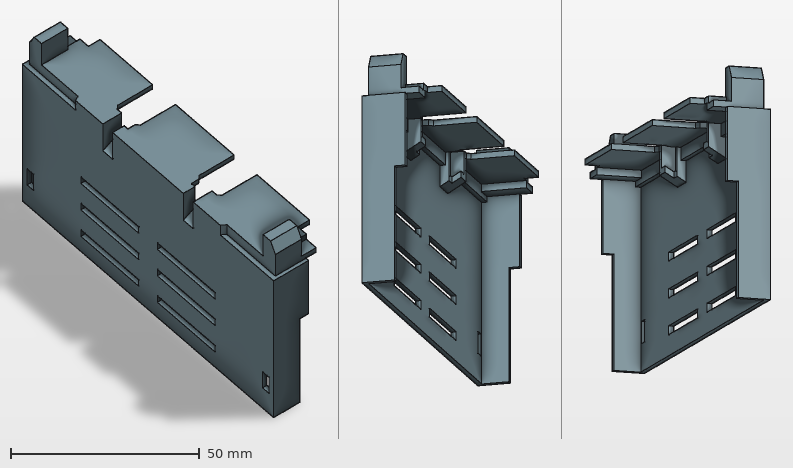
import cadquery as cq
import math


body_width = 104.6
body_height = 51.4
body_left = -body_width / 2
wall = 1.5
side_depth_low = 9.0
side_depth_high = 12.0
side_step_z = 31.4

deck_top = 55.0
deck_thickness = 1.6
deck_depth = 19.5
deck_half_width = 51.2
corner_depth = 15.5
corner_half_width = 43.6

setback = 1.5
setback_half_width = 30.1
setback_slant = 0.9

shelf_half_width = 47.1
shelf_top = 53.1

post_width = 5.1
post_depth = 9.0
post_top = 63.0
post_chamfer_width = 2.0
post_chamfer_height = 3.5

notch_inner = 14.7
notch_outer = 18.8
notch_floor_z = 44.95
notch_floor_angle = 30.0
notch_step_x = 15.9
notch_short_depth = 4.0
notch_long_depth = 6.5
gap_inner = 12.2
gap_outer = 21.7
gap_corner = 1.0

slot_length = 24.0
slot_height = 2.4
slot_center_x = 15.9
slot_bottom_z = 5.7
slot_pitch = 9.95
slot_rows = 3
window_width = 2.6
window_height = 6.0
window_center_x = 49.0
window_bottom_z = 7.6


def box(x0, x1, y0, y1, z0, z1):
    """Box between the given limits."""
    return cq.Workplane("XY").box(x1 - x0, y1 - y0, z1 - z0, centered=False).translate((x0, y0, z0))


def prism_z(points, z0, z1):
    """Vertical prism with the given XY outline."""
    return cq.Workplane("XY").workplane(offset=z0).polyline(points).close().extrude(z1 - z0)


def both_sides(shape):
    """The shape together with its mirror image across X = 0."""
    return shape.union(shape.mirror("YZ"))


def make_body():
    body = box(body_left, body_left + body_width, 0, wall, 0, body_height)
    for x in (body_left, body_left + body_width - wall):
        body = body.union(box(x, x + wall, 0, side_depth_low, 0, body_height))
        body = body.union(box(x, x + wall, 0, side_depth_high, side_step_z, body_height))
    return body


def make_deck():
    half_outline = [
        (0, 0),
        (setback_half_width, 0),
        (setback_half_width + setback_slant, setback),
        (deck_half_width, setback),
        (deck_half_width, corner_depth),
        (corner_half_width, corner_depth),
        (corner_half_width, deck_depth),
        (0, deck_depth),
    ]
    deck = prism_z(half_outline, deck_top - deck_thickness, deck_top)
    raised_wall_outline = [
        (0, 0),
        (setback_half_width, 0),
        (setback_half_width + setback_slant, setback),
        (deck_half_width, setback),
        (deck_half_width, setback + wall),
        (0, setback + wall),
    ]
    deck = deck.union(prism_z(raised_wall_outline, body_height - wall, deck_top))
    return both_sides(deck)


def make_shelf():
    """Lowered corner of the deck, joined to it by an upright web."""
    shelf = box(shelf_half_width - wall, deck_half_width, setback, corner_depth, body_height, shelf_top)
    web = box(shelf_half_width - wall, shelf_half_width, setback, corner_depth, body_height, deck_top)
    return both_sides(shelf.union(web))


def shelf_clearance():
    post_back = setback + post_depth
    return both_sides(box(shelf_half_width, deck_half_width, post_back, corner_depth, shelf_top, deck_top))


def make_post():
    inner = deck_half_width - post_width
    outline = [
        (inner, body_height),
        (deck_half_width, body_height),
        (deck_half_width, post_top - post_chamfer_height),
        (deck_half_width - post_chamfer_width, post_top),
        (inner, post_top),
    ]
    post = cq.Workplane("XZ").polyline(outline).close().extrude(-post_depth)
    return both_sides(post.translate((0, setback, 0)))


def deck_gap():
    """Opening in the deck behind each notch, with bevelled inner corners."""
    wall_inner = notch_inner - wall
    outline = [
        (gap_inner, deck_depth),
        (gap_inner, notch_long_depth + gap_corner),
        (wall_inner, notch_long_depth),
        (wall_inner, notch_short_depth),
        (notch_step_x, notch_short_depth),
        (notch_step_x, notch_long_depth),
        (gap_outer - gap_corner, notch_long_depth),
        (gap_outer, notch_long_depth + gap_corner),
        (gap_outer, deck_depth),
    ]
    return both_sides(prism_z(outline, body_height, deck_top))


def notch_housing():
    """Solid block around each notch, cut below parallel to the sloped floor."""
    outline = [
        (notch_inner - wall, 0),
        (notch_outer + wall, 0),
        (notch_outer + wall, notch_long_depth),
        (notch_step_x, notch_long_depth),
        (notch_step_x, notch_short_depth),
        (notch_inner - wall, notch_short_depth),
    ]
    block = prism_z(outline, 0, deck_top)
    underside_drop = wall / math.cos(math.radians(notch_floor_angle))
    return both_sides(block.intersect(above_slope(notch_floor_z - underside_drop, 0, deck_half_width)))


def above_slope(front_z, x0, x1):
    """Space above a plane that rises toward the back from front_z, between x0 and x1."""
    rise = deck_depth * math.tan(math.radians(notch_floor_angle))
    outline = [(0, front_z), (deck_depth, front_z + rise), (deck_depth, post_top), (0, post_top)]
    return cq.Workplane("YZ").workplane(offset=x0).polyline(outline).close().extrude(x1 - x0)


def notch_cut():
    return both_sides(above_slope(notch_floor_z, notch_inner, notch_outer))


def vent_slots():
    slots = cq.Workplane("XY")
    x0 = slot_center_x - slot_length / 2
    for row in range(slot_rows):
        z0 = slot_bottom_z + row * slot_pitch
        slots = slots.union(box(x0, x0 + slot_length, 0, wall, z0, z0 + slot_height))
    return both_sides(slots)


def side_windows():
    x0 = window_center_x - window_width / 2
    z1 = window_bottom_z + window_height
    return both_sides(box(x0, x0 + window_width, 0, wall, window_bottom_z, z1))


result = make_body().union(make_deck()).union(make_shelf()).union(make_post())
result = result.cut(shelf_clearance()).cut(deck_gap())
result = result.union(notch_housing()).cut(notch_cut())
result = result.cut(vent_slots()).cut(side_windows())